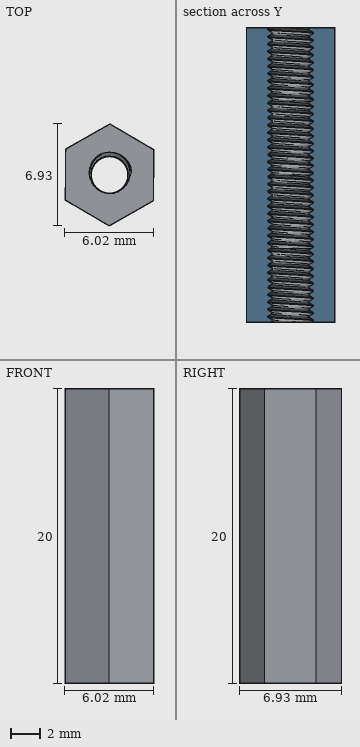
import cadquery as cq
import math

length = 20.0
across_flats = 6.0
across_corners = across_flats / math.cos(math.radians(30))
hex_angle = 89.6

minor_radius = 2.52 / 2
major_radius = 3.08 / 2
pitch = 0.5
flank_angle = 30.0
root_width = pitch / 8
mouth_width = root_width + 2 * (major_radius - minor_radius) * math.tan(math.radians(flank_angle))
groove_angle = 90.0
section_turns = 10
spiral_points = 8


def hexagonal_bar():
    return (
        cq.Workplane("XY")
        .polygon(6, across_corners)
        .extrude(length)
        .rotate((0, 0, 0), (0, 0, 1), hex_angle)
    )


def polar(radius, angle):
    return (radius * math.cos(math.radians(angle)), radius * math.sin(math.radians(angle)))


def tap_section(bottom):
    """Bore and thread together: a level slice through the thread, twisted as it rises.

    In the slice the crest and the root are arcs, and each flank is a spiral between them.
    """
    root_half = 180 * root_width / pitch
    mouth_half = 180 * mouth_width / pitch

    def spiral(start_radius, start_angle, end_radius, end_angle):
        def point(t):
            radius = start_radius + t * (end_radius - start_radius)
            return polar(radius, start_angle + t * (end_angle - start_angle))

        return point

    rising = spiral(minor_radius, -mouth_half, major_radius, -root_half)
    falling = spiral(major_radius, root_half, minor_radius, mouth_half)
    return (
        cq.Workplane("XY")
        .moveTo(*polar(minor_radius, -mouth_half))
        .parametricCurve(rising, N=spiral_points, makeWire=False)
        .threePointArc(polar(major_radius, 0), polar(major_radius, root_half))
        .parametricCurve(falling, N=spiral_points, makeWire=False)
        .threePointArc(polar(minor_radius, 180), polar(minor_radius, -mouth_half))
        .close()
        .twistExtrude(section_turns * pitch, section_turns * 360)
        .rotate((0, 0, 0), (0, 0, 1), groove_angle)
        .translate((0, 0, bottom))
    )


result = hexagonal_bar()
for section in range(round(length / (section_turns * pitch))):
    result = result.cut(tap_section(section * section_turns * pitch), clean=False)